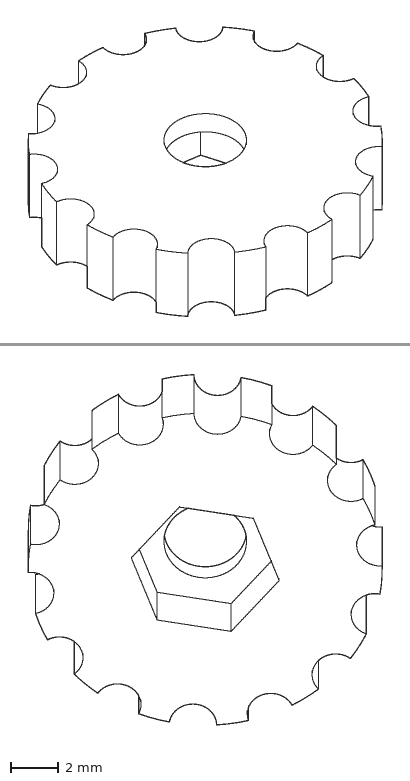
import cadquery as cq

outer_diameter = 14.99
thickness = 3.5
bore_diameter = 3.5
notch_count = 14
notch_diameter = 2.0
first_notch_angle = 90.0
nut_across_corners = 6.35
nut_corner_angle = 23.0
nut_pocket_depth = 2.49

disc = cq.Workplane("XY").circle(outer_diameter / 2).extrude(thickness)

notches = (
    cq.Workplane("XY")
    .polarArray(outer_diameter / 2, first_notch_angle, 360, notch_count)
    .circle(notch_diameter / 2)
    .extrude(thickness)
)

bore = cq.Workplane("XY").circle(bore_diameter / 2).extrude(thickness)

nut_pocket = (
    cq.Workplane("XY")
    .polygon(6, nut_across_corners)
    .extrude(nut_pocket_depth)
    .rotate((0, 0, 0), (0, 0, 1), nut_corner_angle)
)

result = disc.cut(notches).cut(bore).cut(nut_pocket)